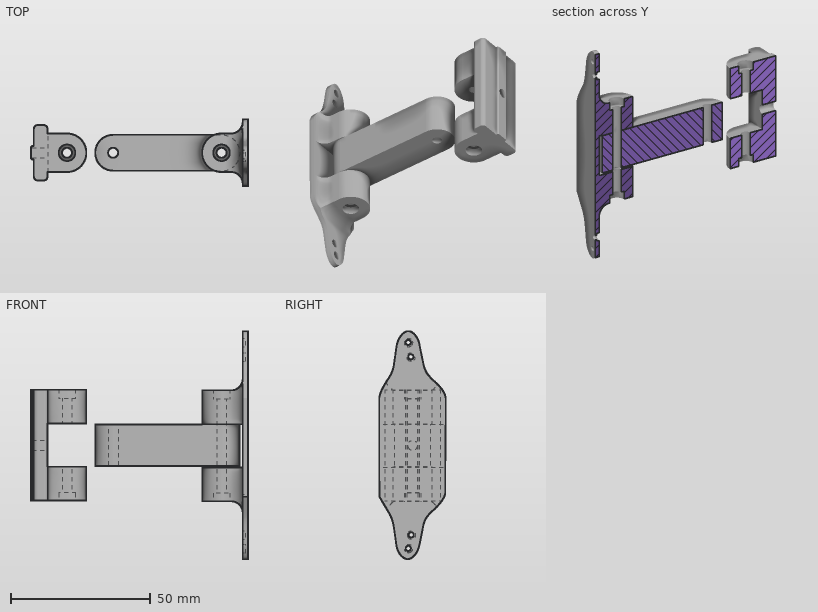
import cadquery as cq

TOTAL_LENGTH = 78.05
PIN_HOLE_DIAMETER = 3.5

CLEVIS_HEIGHT = 40.0
CLEVIS_GAP = 15.5
EAR_RADIUS = 7.0
PIN_HEAD_DIAMETER = 6.0
PIN_HEAD_DEPTH = 3.0

RAIL_WIDTH = 20.0
RAIL_THICKNESS = 5.0
RAIL_CORNER_RADIUS = 1.5
RIB_WIDTH = 5.0
RIB_HEIGHT = 1.0
RIB_CHAMFER = 0.5
RAIL_PIN_X = 13.0
RAIL_BACK_X = RIB_HEIGHT + RAIL_THICKNESS

ARM_HEIGHT = 15.0
ARM_RADIUS = 6.5
ARM_PIN_SPACING = 39.0

PLATE_THICKNESS = 2.0
PLATE_FACE_X = TOTAL_LENGTH - PLATE_THICKNESS
FLARE_RADIUS = 4.0
WALL_PIN_X = 68.5
SCREW_HOLE_DIAMETER = 1.8
SCREW_HEAD_DIAMETER = 3.0
SCREW_HEAD_DEPTH = 1.0
SCREW_POSITIONS = [(-1.5, 36.9), (-0.6, 31.8), (-0.4, -32.25), (-1.5, -37.1)]

ARM_TOP_Z = ARM_HEIGHT / 2
WALL_CLEVIS_Z = ARM_TOP_Z - CLEVIS_GAP / 2

UPPER_TONGUE = [
    (12.1, 16.75), (10.8, 19.8), (8.05, 22.8), (5.25, 25.85), (3.8, 29.95), (2.9, 34.6), (2.0, 38.1),
    (-1.5, 41.0),
    (-4.9, 38.1), (-5.9, 34.5), (-6.5, 29.95), (-7.55, 25.85), (-9.35, 22.8), (-11.1, 19.8), (-12.0, 17.0),
]
LOWER_TONGUE = [
    (-11.9, -18.55), (-10.7, -20.5), (-9.1, -23.15), (-7.55, -26.2),
    (-6.6, -30.3), (-6.0, -34.6), (-5.0, -38.4),
    (-1.65, -41.0),
    (1.65, -38.4), (2.8, -34.8), (3.6, -30.3), (5.0, -26.2), (7.8, -23.15), (10.7, -19.95), (11.8, -17.65),
]


def box(x_start, x_end, width, height, z_center=0):
    """Box from x_start to x_end, centred on Y = 0 and on z_center."""
    center = ((x_start + x_end) / 2, 0, z_center)
    return cq.Workplane("XY").box(x_end - x_start, width, height).translate(center)


def upright_cylinder(x, diameter, height, z_center=0):
    """Vertical cylinder centred on z_center."""
    return cq.Workplane("XY", origin=(x, 0, z_center)).circle(diameter / 2).extrude(height / 2, both=True)


def cut_pin_bore(body, pin_x, z_center):
    """Pin hole through both ears, with a head recess in each outer ear face."""
    body = body.cut(upright_cylinder(pin_x, PIN_HOLE_DIAMETER, CLEVIS_HEIGHT, z_center))
    recess_offset = (CLEVIS_HEIGHT - PIN_HEAD_DEPTH) / 2
    for side in (-1, 1):
        recess_z = z_center + side * recess_offset
        body = body.cut(upright_cylinder(pin_x, PIN_HEAD_DIAMETER, PIN_HEAD_DEPTH, recess_z))
    return body


def make_rail():
    """Rounded rail with a locating rib on its front and two ears on its back."""
    bar = box(RIB_HEIGHT, RAIL_BACK_X, RAIL_WIDTH, CLEVIS_HEIGHT).edges("|Z").fillet(RAIL_CORNER_RADIUS)
    rib = box(0, RAIL_BACK_X, RIB_WIDTH, CLEVIS_HEIGHT).edges("|Z and <X").chamfer(RIB_CHAMFER)

    ears = box(RIB_HEIGHT, RAIL_PIN_X, 2 * EAR_RADIUS, CLEVIS_HEIGHT)
    ears = ears.union(upright_cylinder(RAIL_PIN_X, 2 * EAR_RADIUS, CLEVIS_HEIGHT))
    ears = ears.cut(box(RAIL_BACK_X, RAIL_PIN_X + 2 * EAR_RADIUS, RAIL_WIDTH, CLEVIS_GAP))

    rail = cut_pin_bore(bar.union(rib).union(ears), RAIL_PIN_X, 0)
    center_hole = cq.Workplane("YZ").circle(PIN_HOLE_DIAMETER / 2).extrude(RAIL_BACK_X)
    return rail.cut(center_hole)


def make_arm():
    """Straight link with rounded ends and a pin hole at each end."""
    front_pin_x = WALL_PIN_X - ARM_PIN_SPACING
    arm = box(front_pin_x, WALL_PIN_X, 2 * ARM_RADIUS, ARM_HEIGHT)
    for pin_x in (front_pin_x, WALL_PIN_X):
        arm = arm.union(upright_cylinder(pin_x, 2 * ARM_RADIUS, ARM_HEIGHT))
    for pin_x in (front_pin_x, WALL_PIN_X):
        arm = arm.cut(upright_cylinder(pin_x, PIN_HOLE_DIAMETER, ARM_HEIGHT))
    return arm


def plate_outline_prism(x_start, x_end):
    """Plate outline extruded along X."""
    return (
        cq.Workplane("YZ", origin=(x_start, 0, 0))
        .moveTo(*UPPER_TONGUE[0])
        .spline(UPPER_TONGUE[1:], includeCurrent=True)
        .lineTo(*LOWER_TONGUE[0])
        .spline(LOWER_TONGUE[1:], includeCurrent=True)
        .close()
        .extrude(x_end - x_start)
    )


def flared_prism(plane, half_width, depth):
    """Strip along X whose two sides curve outward to meet the plate face."""
    start_x = WALL_PIN_X - EAR_RADIUS
    flare_x = PLATE_FACE_X - FLARE_RADIUS
    flared_half_width = half_width + FLARE_RADIUS
    arc_end = (PLATE_FACE_X, flared_half_width)
    diagonal = FLARE_RADIUS / 2**0.5
    arc_middle = (flare_x + diagonal, flared_half_width - diagonal)
    return (
        cq.Workplane(plane)
        .moveTo(start_x, -half_width)
        .lineTo(start_x, half_width)
        .lineTo(flare_x, half_width)
        .threePointArc(arc_middle, arc_end)
        .lineTo(TOTAL_LENGTH, flared_half_width)
        .lineTo(TOTAL_LENGTH, -flared_half_width)
        .lineTo(PLATE_FACE_X, -flared_half_width)
        .threePointArc((arc_middle[0], -arc_middle[1]), (flare_x, -half_width))
        .close()
        .extrude(depth / 2, both=True)
    )


def make_wall_ears():
    """Two ears whose flares meet in mitres and are trimmed to the plate outline."""
    envelope = 2 * CLEVIS_HEIGHT
    ears = flared_prism("XY", EAR_RADIUS, envelope)
    ears = ears.intersect(flared_prism("XZ", CLEVIS_HEIGHT / 2, envelope))
    ears = ears.translate((0, 0, WALL_CLEVIS_Z))

    rounded_end = upright_cylinder(WALL_PIN_X, 2 * EAR_RADIUS, envelope)
    ears = ears.intersect(rounded_end.union(plate_outline_prism(WALL_PIN_X, TOTAL_LENGTH)))

    gap = box(WALL_PIN_X - EAR_RADIUS, PLATE_FACE_X, envelope, CLEVIS_GAP, WALL_CLEVIS_Z)
    return ears.cut(gap)


def make_wall_plate():
    """Wall plate with flared hinge ears and recessed screw holes."""
    plate = plate_outline_prism(PLATE_FACE_X, TOTAL_LENGTH).union(make_wall_ears())
    plate = cut_pin_bore(plate, WALL_PIN_X, WALL_CLEVIS_Z)

    face = cq.Workplane("YZ", origin=(PLATE_FACE_X, 0, 0)).pushPoints(SCREW_POSITIONS)
    holes = face.circle(SCREW_HOLE_DIAMETER / 2).extrude(PLATE_THICKNESS)
    heads = face.circle(SCREW_HEAD_DIAMETER / 2).extrude(SCREW_HEAD_DEPTH)
    return plate.cut(holes).cut(heads)


rail = make_rail()
arm = make_arm()
wall_plate = make_wall_plate()

result = cq.Compound.makeCompound([rail.val(), arm.val(), wall_plate.val()])